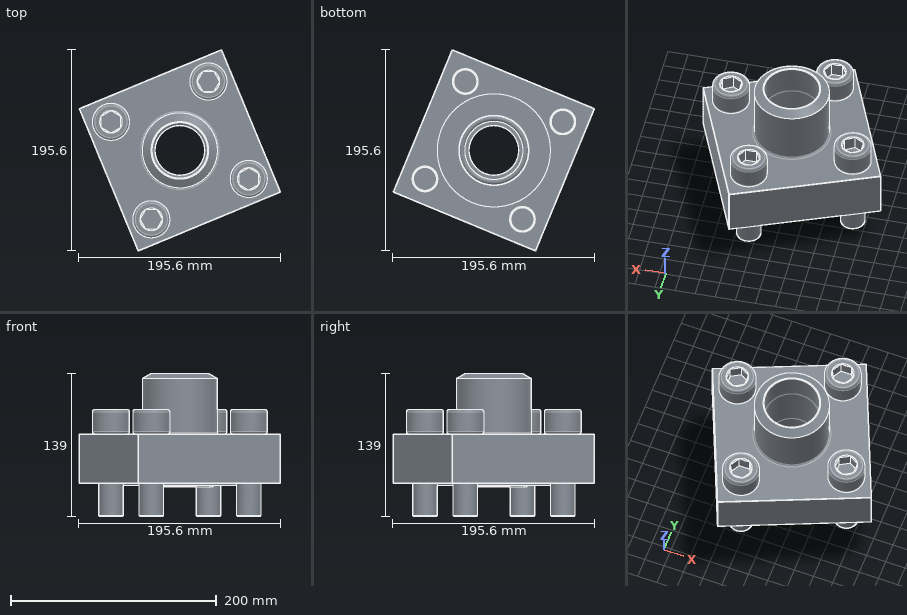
import cadquery as cq
import math


plate_side = 150.0
plate_thickness = 48.0
plate_turn = 22.5
plate_edge_break = 0.46

face_diameter = 110.0
face_height = 2.0
flange_bottom = -(plate_thickness + face_height)

pipe_diameter = 73.0
pipe_height = 59.0
pipe_root_fillet = 1.5
pipe_bore = 54.0
pipe_bore_depth = pipe_height / 2
through_bore = 48.0
bore_taper_angle = 4.0
weld_land = 1.0
bore_mouth_break = 0.3
weld_bevel_angle = 30.0

ring_inner_diameter = 56.52
ring_section = 5.33
groove_outer_diameter = 68.25
groove_depth = 4.0

bolt_count = 4
bolt_circle = 145.0
bolt_hole_diameter = 25.0
shank_diameter = 24.0
bolt_length = 80.0
tip_chamfer = 0.8
head_diameter = 36.0
head_height = 24.0
head_fillet = 0.1 * shank_diameter
hex_across_flats = 19.0
hex_across_corners = hex_across_flats / math.cos(math.radians(30))
socket_depth = 0.6 * shank_diameter
socket_mouth_angle = 30.0

bolt_spacing = 360 / bolt_count
diagonal_angle = 45.0
first_bolt_angle = plate_turn + diagonal_angle
bolt_angles = [first_bolt_angle + index * bolt_spacing for index in range(bolt_count)]


def bolt_centre(angle):
    """Point on the bolt circle at an angle in degrees from +X."""
    turn = math.radians(angle)
    return bolt_circle / 2 * math.cos(turn), bolt_circle / 2 * math.sin(turn)


def revolve_about_z(profile):
    return profile.close().revolve(360, (0, 0, 0), (0, 1, 0))


def make_plate():
    plate = cq.Workplane("XY").box(plate_side, plate_side, plate_thickness, centered=(True, True, False))
    plate = plate.edges().chamfer(plate_edge_break)
    return plate.translate((0, 0, -plate_thickness)).rotate((0, 0, 0), (0, 0, 1), plate_turn)


def make_pipe():
    """Solid stub with a fillet at its root and a weld bevel at its free end."""
    radius = pipe_diameter / 2
    land_radius = pipe_bore / 2 + weld_land
    bevel_height = (radius - land_radius) * math.tan(math.radians(weld_bevel_angle))
    fillet_offset = pipe_root_fillet * (1 - math.sqrt(0.5))
    profile = (
        cq.Workplane("XZ")
        .lineTo(radius + pipe_root_fillet, 0)
        .threePointArc((radius + fillet_offset, fillet_offset), (radius, pipe_root_fillet))
        .lineTo(radius, pipe_height - bevel_height)
        .lineTo(land_radius, pipe_height)
        .lineTo(0, pipe_height)
    )
    return revolve_about_z(profile)


def make_bore_cutter():
    """Wide bore with a broken mouth edge at the pipe end, tapering down to the narrower through bore."""
    taper_top = pipe_height - pipe_bore_depth
    taper_length = (pipe_bore - through_bore) / 2 / math.tan(math.radians(bore_taper_angle))
    profile = (
        cq.Workplane("XZ")
        .moveTo(0, flange_bottom)
        .lineTo(through_bore / 2, flange_bottom)
        .lineTo(through_bore / 2, taper_top - taper_length)
        .lineTo(pipe_bore / 2, taper_top)
        .lineTo(pipe_bore / 2, pipe_height - bore_mouth_break)
        .lineTo(pipe_bore / 2 + bore_mouth_break, pipe_height)
        .lineTo(0, pipe_height)
    )
    return revolve_about_z(profile)


def make_flange():
    sealing_face = (
        cq.Workplane("XY").workplane(offset=flange_bottom).circle(face_diameter / 2).extrude(face_height)
    )
    groove = (
        cq.Workplane("XY")
        .workplane(offset=flange_bottom)
        .circle(groove_outer_diameter / 2)
        .circle(ring_inner_diameter / 2)
        .extrude(groove_depth)
    )
    bolt_centres = [bolt_centre(angle) for angle in bolt_angles]
    bolt_holes = cq.Workplane("XY").pushPoints(bolt_centres).circle(bolt_hole_diameter / 2)
    bolt_holes = bolt_holes.extrude(flange_bottom)
    flange = make_plate().union(sealing_face).union(make_pipe())
    return flange.cut(make_bore_cutter()).cut(groove).cut(bolt_holes)


def make_o_ring():
    """Ring seated on the groove floor, standing proud of the sealing face."""
    centre_radius = (ring_inner_diameter + ring_section) / 2
    centre_height = flange_bottom + groove_depth - ring_section / 2
    section = cq.Workplane("XZ").center(centre_radius, centre_height).circle(ring_section / 2)
    return section.revolve(360, (-centre_radius, 0, 0), (-centre_radius, 1, 0))


def make_bolt():
    """Bolt on the Z axis, head resting on Z = 0, hex socket with a flared mouth and a corner along +X."""
    head = cq.Workplane("XY").circle(head_diameter / 2).extrude(head_height).edges().fillet(head_fillet)
    shank = cq.Workplane("XY").circle(shank_diameter / 2).extrude(-bolt_length)
    shank = shank.faces("<Z").edges().chamfer(tip_chamfer)
    socket = (
        cq.Workplane("XY").workplane(offset=head_height).polygon(6, hex_across_corners).extrude(-socket_depth)
    )
    mouth_radius = hex_across_corners / 2
    mouth_depth = mouth_radius * math.tan(math.radians(socket_mouth_angle))
    mouth = revolve_about_z(
        cq.Workplane("XZ")
        .moveTo(0, head_height)
        .lineTo(mouth_radius, head_height)
        .lineTo(0, head_height - mouth_depth)
    )
    return head.union(shank).cut(socket).cut(mouth)


def make_bolts():
    """One bolt per hole, each turned with its place around the circle."""
    bolt = make_bolt()
    bolts = []
    for index, angle in enumerate(bolt_angles):
        place = cq.Location(cq.Vector(*bolt_centre(angle)), cq.Vector(0, 0, 1), index * bolt_spacing)
        bolts.append(bolt.val().moved(place))
    return bolts


flange = make_flange()
o_ring = make_o_ring()
bolts = make_bolts()

result = cq.Compound.makeCompound([flange.val(), o_ring.val(), *bolts])